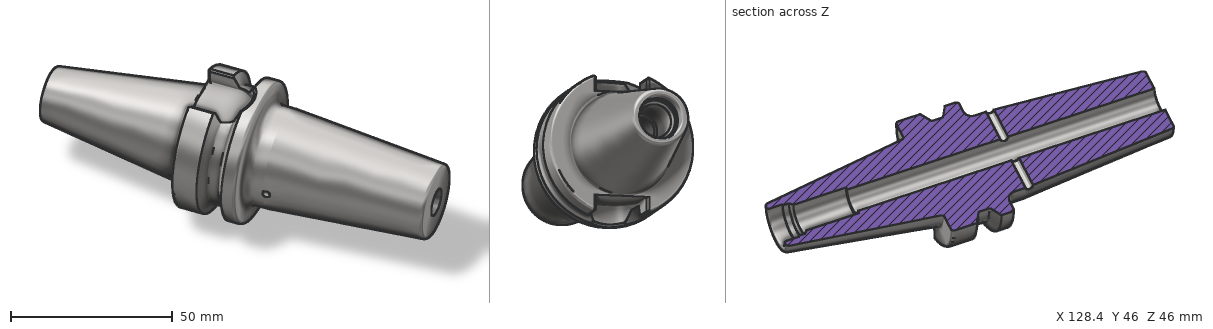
import cadquery as cq
import math

TOTAL_LENGTH = 128.4
TOLERANCE = 0.01

TAPER_PER_LENGTH = 7 / 24
SHANK_TIP_RADIUS = 8.9
SHANK_TIP_FILLET = 1.3
SHANK_ROOT_FILLET = 0.8

FLANGE_START = 49.4
FLANGE_END = 70.5
FLANGE_RADIUS = 23.0
FLANGE_EDGE_FILLET = 1.0
FLANGE_NOSE_FILLET = 2.7

GROOVE_CENTER = 61.9
GROOVE_FLOOR_WIDTH = 3.7
GROOVE_FLOOR_RADIUS = 19.1
GROOVE_FLANK_ANGLE = math.radians(30)
GROOVE_FLOOR_FILLET = 0.4

NOSE_RADIUS = 16.0
NOSE_TAPER_START = 77.3
NOSE_TAPER_ANGLE = math.radians(4.5)
NOSE_TIP_FILLET = 1.0

PILOT_RADIUS = 6.7
MOUTH_FILLET = 0.8
PILOT_END = 5.0
RECESS_RADIUS = 6.3
RECESS_END = 7.0
THREAD_RADIUS = 5.3
THREAD_END = 25.7
THROUGH_RADIUS = 4.4

SLOT_WIDTH = 16.0
SLOT_FLOOR_HEIGHT = 16.3
SLOT_END = 67.3
SLOT_FLOOR_FILLET = 0.4
SLOT_EDGE_CHAMFER = 0.8

CROSS_HOLE_X = 78.2
CROSS_HOLE_DIAMETER = 2.5

shank_root_radius = SHANK_TIP_RADIUS + FLANGE_START * TAPER_PER_LENGTH / 2
nose_tip_radius = NOSE_RADIUS - (TOTAL_LENGTH - NOSE_TAPER_START) * math.tan(NOSE_TAPER_ANGLE)
groove_floor_start = GROOVE_CENTER - GROOVE_FLOOR_WIDTH / 2
groove_floor_end = GROOVE_CENTER + GROOVE_FLOOR_WIDTH / 2
groove_flank_length = (FLANGE_RADIUS - GROOVE_FLOOR_RADIUS) * math.tan(GROOVE_FLANK_ANGLE)
groove_start = groove_floor_start - groove_flank_length
groove_end = groove_floor_end + groove_flank_length


def revolve_profile(points):
    """Turn a closed (x, radius) outline about the X axis."""
    return cq.Workplane("XY").polyline(points).close().revolve(360, (0, 0, 0), (1, 0, 0))


def fillet_ring(body, x, radius, fillet):
    """Round the circular edge of the given radius that lies at x on the axis."""
    rings = [
        edge
        for edge in body.edges("%CIRCLE").vals()
        if abs(edge.Center().x - x) < TOLERANCE and abs(edge.radius() - radius) < TOLERANCE
    ]
    return body.newObject(rings).fillet(fillet)


def make_turned_body():
    """Solid shank, flange and nose with all their circular edges rounded."""
    body = revolve_profile([
        (0, 0),
        (0, SHANK_TIP_RADIUS),
        (FLANGE_START, shank_root_radius),
        (FLANGE_START, FLANGE_RADIUS),
        (groove_start, FLANGE_RADIUS),
        (groove_floor_start, GROOVE_FLOOR_RADIUS),
        (groove_floor_end, GROOVE_FLOOR_RADIUS),
        (groove_end, FLANGE_RADIUS),
        (FLANGE_END, FLANGE_RADIUS),
        (FLANGE_END, NOSE_RADIUS),
        (NOSE_TAPER_START, NOSE_RADIUS),
        (TOTAL_LENGTH, nose_tip_radius),
        (TOTAL_LENGTH, 0),
    ])
    rounded_rings = [
        (0, SHANK_TIP_RADIUS, SHANK_TIP_FILLET),
        (FLANGE_START, shank_root_radius, SHANK_ROOT_FILLET),
        (FLANGE_START, FLANGE_RADIUS, FLANGE_EDGE_FILLET),
        (groove_floor_start, GROOVE_FLOOR_RADIUS, GROOVE_FLOOR_FILLET),
        (groove_floor_end, GROOVE_FLOOR_RADIUS, GROOVE_FLOOR_FILLET),
        (FLANGE_END, FLANGE_RADIUS, FLANGE_EDGE_FILLET),
        (FLANGE_END, NOSE_RADIUS, FLANGE_NOSE_FILLET),
        (TOTAL_LENGTH, nose_tip_radius, NOSE_TIP_FILLET),
    ]
    for x, radius, fillet in rounded_rings:
        body = fillet_ring(body, x, radius, fillet)
    return body


def make_bore():
    """Bore that narrows through a pilot, a recess with a conical end and a thread-size hole."""
    thread_start = RECESS_END + RECESS_RADIUS - THREAD_RADIUS
    return revolve_profile([
        (0, 0),
        (0, PILOT_RADIUS),
        (PILOT_END, PILOT_RADIUS),
        (PILOT_END, RECESS_RADIUS),
        (RECESS_END, RECESS_RADIUS),
        (thread_start, THREAD_RADIUS),
        (THREAD_END, THREAD_RADIUS),
        (THREAD_END, THROUGH_RADIUS),
        (TOTAL_LENGTH, THROUGH_RADIUS),
        (TOTAL_LENGTH, 0),
    ])


def make_slot_cutter():
    """Round-ended slot with a filleted floor and a flared mouth at the flange face."""
    half_width = SLOT_WIDTH / 2
    arc_center = SLOT_END - half_width
    start = FLANGE_START - 2 * SHANK_ROOT_FILLET
    slot = (
        cq.Workplane("XY", origin=(0, 0, SLOT_FLOOR_HEIGHT))
        .moveTo(start, -half_width)
        .lineTo(arc_center, -half_width)
        .threePointArc((SLOT_END, 0), (arc_center, half_width))
        .lineTo(start, half_width)
        .close()
        .extrude(FLANGE_RADIUS)
        .faces("<Z")
        .edges("not <X")
        .fillet(SLOT_FLOOR_FILLET)
    )
    flare_half_width = half_width + SLOT_EDGE_CHAMFER
    flare_end = FLANGE_START + flare_half_width
    flare = (
        cq.Workplane("XY", origin=(0, 0, SLOT_FLOOR_HEIGHT))
        .polyline([(FLANGE_START, -flare_half_width), (flare_end, 0), (FLANGE_START, flare_half_width)])
        .close()
        .extrude(FLANGE_RADIUS)
    )
    return slot.union(flare)


def chamfer_slot_rim(body):
    """Break the edges where the slot walls meet the outside of the flange."""
    half_width = SLOT_WIDTH / 2
    wall_top = math.sqrt(FLANGE_RADIUS**2 - half_width**2)
    straight_edges = [
        edge
        for edge in body.edges("|X").vals()
        if abs(abs(edge.Center().y) - half_width) < TOLERANCE
        and abs(abs(edge.Center().z) - wall_top) < TOLERANCE
    ]
    end_edges = [
        edge
        for edge in body.edges("%BSPLINE").vals()
        if abs(edge.positionAt(0.5).x - SLOT_END) < TOLERANCE
        and abs(abs(edge.positionAt(0.5).z) - FLANGE_RADIUS) < TOLERANCE
    ]
    return body.newObject(straight_edges + end_edges).chamfer(SLOT_EDGE_CHAMFER)


slot_cutter = make_slot_cutter()
cross_hole = (
    cq.Workplane("XZ", origin=(CROSS_HOLE_X, 0, 0))
    .circle(CROSS_HOLE_DIAMETER / 2)
    .extrude(FLANGE_RADIUS, both=True)
)

result = make_turned_body()
for turn in (0, 180):
    result = result.cut(slot_cutter.rotate((0, 0, 0), (1, 0, 0), turn))
result = chamfer_slot_rim(result)
result = result.cut(make_bore())
result = fillet_ring(result, 0, PILOT_RADIUS, MOUTH_FILLET)
result = result.cut(cross_hole)